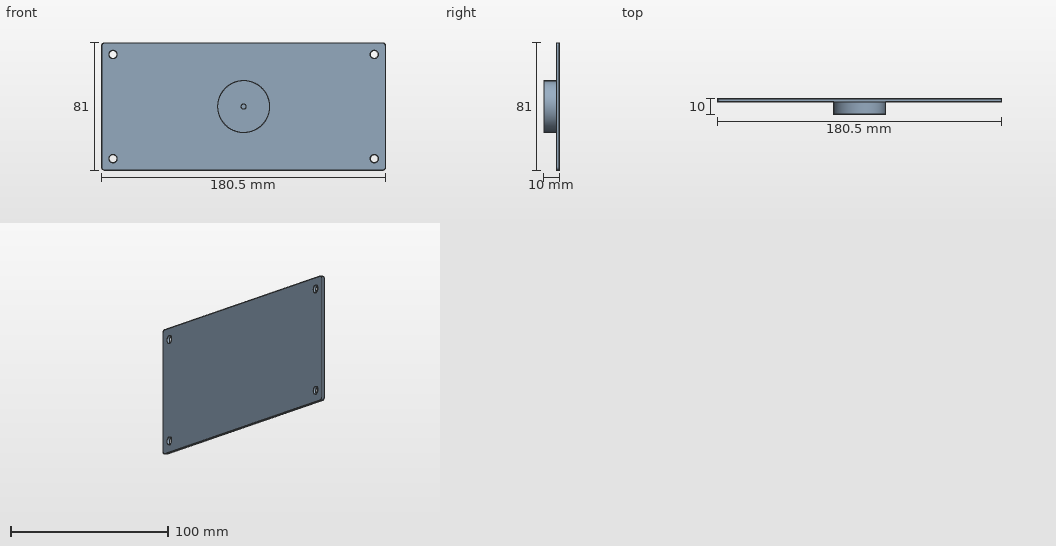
import cadquery as cq

plate_length = 180.5
plate_height = 81.0
plate_thickness = 2.0
corner_radius = 2.0

mount_hole_diameter = 5.0
mount_spacing_x = 166.1
mount_spacing_z = 66.3

total_depth = 10.0
boss_diameter = 33.0
boss_height = total_depth - plate_thickness
center_hole_diameter = 3.2
center_hole_depth = boss_height


def make_plate():
    """Rounded plate extending from Y = 0 to the back (+Y)."""
    return (
        cq.Workplane("XZ")
        .rect(plate_length, plate_height)
        .extrude(-plate_thickness)
        .edges("|Y")
        .fillet(corner_radius)
    )


def make_boss():
    """Round boss extending from Y = 0 to the front (-Y)."""
    return cq.Workplane("XZ").circle(boss_diameter / 2).extrude(boss_height)


def make_mount_holes():
    """Cutters for the four through holes."""
    return (
        cq.Workplane("XZ")
        .rect(mount_spacing_x, mount_spacing_z, forConstruction=True)
        .vertices()
        .circle(mount_hole_diameter / 2)
        .extrude(-plate_thickness)
    )


def make_center_hole():
    """Cutter for the blind hole, sunk from the front face of the boss."""
    return (
        cq.Workplane("XZ", origin=(0, -boss_height, 0))
        .circle(center_hole_diameter / 2)
        .extrude(-center_hole_depth)
    )


result = make_plate().union(make_boss()).cut(make_mount_holes()).cut(make_center_hole())